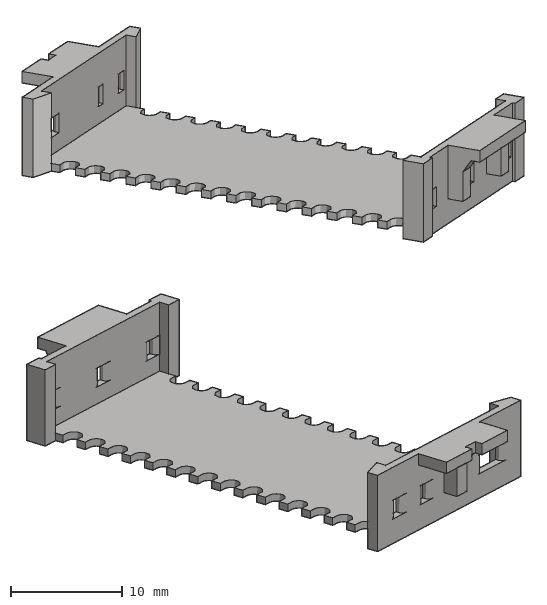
import cadquery as cq

length = 46.2
left_width = 21.2
height = 7.5

floor_width = 16.72
floor_thickness = 0.75
scallop_count = 14
scallop_pitch = 2.55
scallop_radius = 0.8
scallop_depth = 1.4

tab_width = 9.0
tab_thickness = 1.1
tab_notch_width = 1.5
tab_notch_depth = 0.75

left_wall_outer = 3.15
left_wall_thickness = 0.8
left_lug_tip = 4.25
left_lug_root = 4.95

right_wall_outer = 43.0
right_wall_thickness = 0.8
right_width = 19.85
right_lug_inner = 41.2
right_lug_outer = 43.3
right_lug_step_width = 16.25

gusset_width = 1.5
gusset_top_reach = 0.9
gusset_foot_reach = 1.7
gusset_knee_drop = 2.3
gusset_foot_drop = 5.15

window_height = 1.85
window_bottom = 2.4
window_width = 2.1
edge_window_outer = 8.4
edge_window_center = edge_window_outer - window_width / 2
inner_window_near = 2.4
inner_window_far = 4.35
window_flare_radius = 0.5

left_wall_inner = left_wall_outer + left_wall_thickness
right_wall_inner = right_wall_outer - right_wall_thickness


def block(x_range, y_range, z_range):
    """Axis-aligned box between pairs of limits."""
    low, high = zip(sorted(x_range), sorted(y_range), sorted(z_range))
    size = [b - a for a, b in zip(low, high)]
    return cq.Workplane("XY").box(*size, centered=False).translate(low)


def centered(width):
    """Limits of a span centered on the part's long axis."""
    return (-width / 2, width / 2)


def make_floor():
    floor = block((left_wall_outer, right_wall_outer), centered(floor_width), (0, floor_thickness))
    first_center = length / 2 - scallop_pitch * (scallop_count - 1) / 2
    arc_center = floor_width / 2 - scallop_depth + scallop_radius
    for index in range(scallop_count):
        x = first_center + index * scallop_pitch
        for side in (-1, 1):
            round_end = (
                cq.Workplane("XY").center(x, side * arc_center)
                .circle(scallop_radius).extrude(floor_thickness)
            )
            mouth = block(
                (x - scallop_radius, x + scallop_radius),
                (side * arc_center, side * floor_width / 2),
                (0, floor_thickness),
            )
            floor = floor.cut(round_end).cut(mouth)
    return floor


def make_left_wall():
    """End wall whose two ends thicken into tapered lugs outside the floor."""
    wall = block((left_wall_outer, left_wall_inner), centered(left_width), (0, height))
    for side in (-1, 1):
        lug = (
            cq.Workplane("XY")
            .moveTo(left_wall_outer, side * floor_width / 2)
            .lineTo(left_lug_root, side * floor_width / 2)
            .lineTo(left_lug_tip, side * left_width / 2)
            .lineTo(left_wall_outer, side * left_width / 2)
            .close().extrude(height)
        )
        wall = wall.union(lug)
    return wall


def make_right_wall():
    """End wall with a thick rectangular lug at each end."""
    wall = block((right_wall_inner, right_wall_outer), centered(floor_width), (0, height))
    for side in (-1, 1):
        inner_part = block(
            (right_lug_inner, right_lug_outer),
            (side * floor_width / 2, side * right_width / 2),
            (0, height),
        )
        outer_step = block(
            (right_wall_outer, right_lug_outer),
            (side * right_lug_step_width / 2, side * right_width / 2),
            (0, height),
        )
        wall = wall.union(inner_part).union(outer_step)
    return wall


def make_tabs():
    z_range = (height - tab_thickness, height)
    left_tab = block((0, left_wall_inner), centered(tab_width), z_range)
    right_tab = block((right_wall_inner, length), centered(tab_width), z_range)
    notch = block((0, tab_notch_depth), centered(tab_notch_width), z_range)
    return left_tab.cut(notch).union(right_tab)


def make_gusset(tip_x, wall_x, y_center):
    """Bracket running from the underside of a tab down the outer face of a wall."""
    inward = 1 if wall_x > tip_x else -1
    top_x = tip_x + inward * gusset_top_reach
    foot_x = tip_x + inward * gusset_foot_reach
    return (
        cq.Workplane("XZ", origin=(0, y_center, 0))
        .moveTo(wall_x, height - tab_thickness)
        .lineTo(top_x, height - tab_thickness)
        .lineTo(foot_x, height - gusset_knee_drop)
        .lineTo(foot_x, height - gusset_foot_drop)
        .lineTo(wall_x, height - gusset_foot_drop)
        .close().extrude(gusset_width / 2, both=True)
    )


def make_window(face_x, thickness, y_low, y_high):
    """Cutter for a window with side edges rounded over on the wall face at face_x."""
    radius = window_flare_radius
    throat_low = y_low + radius
    throat_high = y_high - radius
    return (
        cq.Workplane("XY", origin=(face_x, 0, window_bottom))
        .moveTo(0, y_low)
        .radiusArc((radius, throat_low), radius)
        .lineTo(thickness, throat_low)
        .lineTo(thickness, throat_high)
        .lineTo(radius, throat_high)
        .radiusArc((0, y_high), radius)
        .close().extrude(window_height)
    )


def cut_windows(body):
    left_spans = [
        (edge_window_outer - window_width, edge_window_outer),
        (inner_window_near, inner_window_far),
        (-edge_window_outer, -inner_window_far),
    ]
    for y_low, y_high in left_spans:
        body = body.cut(make_window(left_wall_outer, left_wall_thickness, y_low, y_high))
    for y in (-edge_window_center, 0, edge_window_center):
        y_low = y - window_width / 2
        y_high = y + window_width / 2
        body = body.cut(make_window(right_wall_inner, right_wall_thickness, y_low, y_high))
    return body


body = make_floor().union(make_left_wall()).union(make_right_wall()).union(make_tabs())

body = body.union(make_gusset(0, left_wall_outer, 0))
right_gusset_offset = (tab_width - gusset_width) / 2
for side in (-1, 1):
    body = body.union(make_gusset(length, right_wall_outer, side * right_gusset_offset))

result = cut_windows(body)